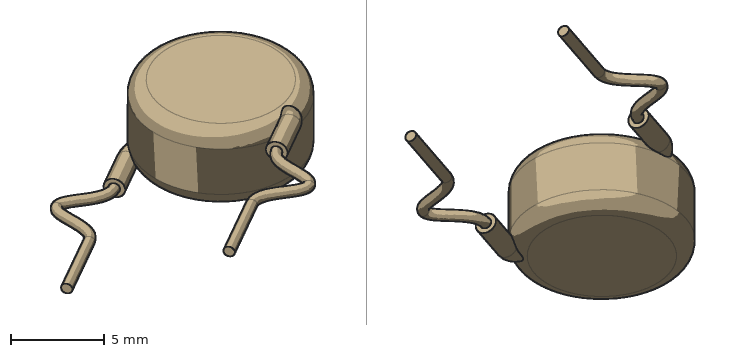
import cadquery as cq
import math

overall_width = 14.7
overall_length = 19.5
overall_height = 5.45

disc_diameter = 10.0
disc_height = 5.0
rim_radius = 1.0
disc_radius = disc_diameter / 2

sleeve_diameter = 1.2
sleeve_straight = 2.63
elbow_radius = 1.0
elbow_lean = math.radians(30)
sleeve_x = 4.52
sleeve_z = (overall_height - sleeve_diameter) / 2
sleeve_end_y = -disc_radius
elbow_start_y = sleeve_end_y + sleeve_straight

lead_diameter = 0.65
kink_length = disc_radius
kink_peak_x = (overall_width - lead_diameter) / 2
kink_peak_y = sleeve_end_y - kink_length / 2
kink_foot_handle = 1.36
kink_peak_handle = 0.88
leg_end_y = disc_radius - overall_length

side_angles = (0, 180)


def make_disc():
    disc = cq.Workplane("XY").cylinder(disc_height, disc_radius)
    return disc.edges("%CIRCLE").fillet(rim_radius)


def make_sleeve():
    """Straight sleeve with a quarter-turn elbow that ends inside the disc."""
    straight = (
        cq.Workplane("XZ", origin=(sleeve_x, sleeve_end_y, sleeve_z))
        .circle(sleeve_diameter / 2)
        .extrude(-sleeve_straight)
    )
    elbow_start = cq.Vector(sleeve_x, elbow_start_y, sleeve_z)
    inward = cq.Vector(-math.cos(elbow_lean), 0, -math.sin(elbow_lean))
    section = cq.Plane(origin=elbow_start, xDir=inward, normal=(0, 1, 0))
    elbow = (
        cq.Workplane(section)
        .circle(sleeve_diameter / 2)
        .revolve(90, (elbow_radius, 0, 0), (elbow_radius, 1, 0))
    )
    return straight.union(elbow)


def turn_over(body, angle):
    """Rotate a body about the Y axis."""
    return body.rotate((0, 0, 0), (0, 1, 0), angle)


def make_housing():
    housing = make_disc()
    sleeve = make_sleeve()
    for angle in side_angles:
        housing = housing.union(turn_over(sleeve, angle))
    return housing


def make_lead():
    """Round wire that starts at the end face of a sleeve."""
    outward_curve = [
        (sleeve_x, sleeve_end_y),
        (sleeve_x, sleeve_end_y - kink_foot_handle),
        (kink_peak_x, kink_peak_y + kink_peak_handle),
        (kink_peak_x, kink_peak_y),
    ]
    inward_curve = [(x, 2 * kink_peak_y - y) for x, y in reversed(outward_curve)]
    path = (
        cq.Workplane("XY", origin=(0, 0, sleeve_z))
        .bezier(outward_curve)
        .bezier(inward_curve)
        .lineTo(sleeve_x, leg_end_y)
    )
    return (
        cq.Workplane("XZ", origin=(sleeve_x, sleeve_end_y, sleeve_z))
        .circle(lead_diameter / 2)
        .sweep(path)
    )


housing = make_housing()
lead = make_lead()
leads = [turn_over(lead, angle).val() for angle in side_angles]

result = cq.Compound.makeCompound([housing.val(), *leads])